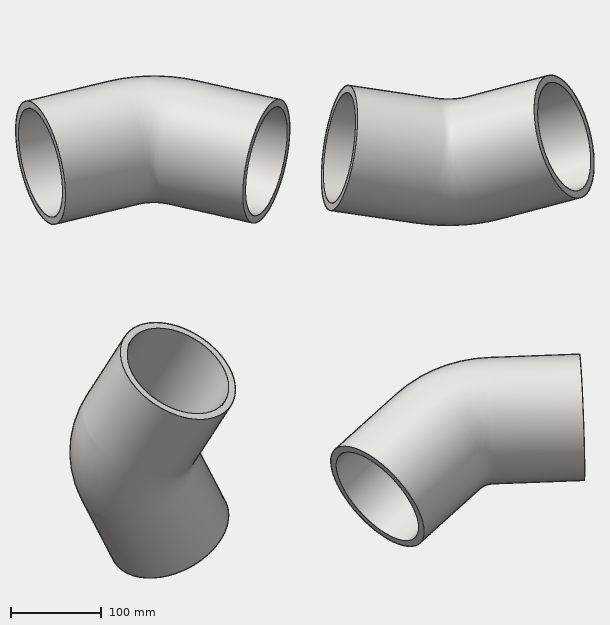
import cadquery as cq
import math

outer_diameter = 140.0
inner_diameter = 123.4
bend_angle = 45.0
spigot_length = 100.0
center_to_end = 135.0

tangent_length = center_to_end - spigot_length
bend_radius = tangent_length / math.tan(math.radians(bend_angle / 2))


def point_on_inlet_axis(distance):
    """Point on the inlet axis, at a distance before the axis crossing."""
    return (0, -distance)


def point_on_outlet_axis(distance):
    """Point on the outlet axis, at a distance past the axis crossing."""
    angle = math.radians(bend_angle)
    return (distance * math.sin(angle), distance * math.cos(angle))


def bend_midpoint():
    """Middle of the bend arc, whose centre lies on the +X side of the inlet."""
    half_angle = math.radians(bend_angle / 2)
    x = bend_radius * (1 - math.cos(half_angle))
    y = -tangent_length + bend_radius * math.sin(half_angle)
    return (x, y)


def make_centerline():
    """Inlet line, tangent bend arc and outlet line."""
    return (
        cq.Workplane("XY")
        .moveTo(*point_on_inlet_axis(center_to_end))
        .lineTo(*point_on_inlet_axis(tangent_length))
        .threePointArc(bend_midpoint(), point_on_outlet_axis(tangent_length))
        .lineTo(*point_on_outlet_axis(center_to_end))
    )


def make_elbow():
    """Sweep the ring-shaped pipe section along the centreline."""
    return (
        cq.Workplane("XZ", origin=(*point_on_inlet_axis(center_to_end), 0))
        .circle(outer_diameter / 2)
        .circle(inner_diameter / 2)
        .sweep(make_centerline())
    )


result = make_elbow()